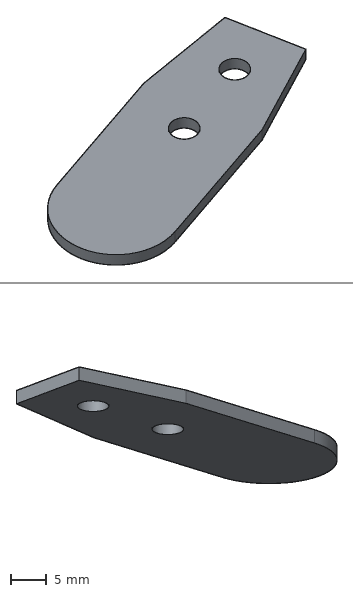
import cadquery as cq

length = 51.0
width = 19.0
thickness = 2.0

tip_width = 13.0
taper_length = 17.35

hole_diameter = 4.4
first_hole_offset = 8.5
hole_spacing = 14.0

end_radius = width / 2
tip_y = length - end_radius
shoulder_y = tip_y - taper_length
first_hole_y = tip_y - first_hole_offset
hole_centres = [(0, first_hole_y), (0, first_hole_y - hole_spacing)]

plate = (
    cq.Workplane("XY")
    .moveTo(-end_radius, 0)
    .threePointArc((0, -end_radius), (end_radius, 0))
    .lineTo(end_radius, shoulder_y)
    .lineTo(tip_width / 2, tip_y)
    .lineTo(-tip_width / 2, tip_y)
    .lineTo(-end_radius, shoulder_y)
    .close()
    .extrude(thickness)
)

result = plate.faces(">Z").workplane(origin=(0, 0, thickness)).pushPoints(hole_centres).hole(hole_diameter)